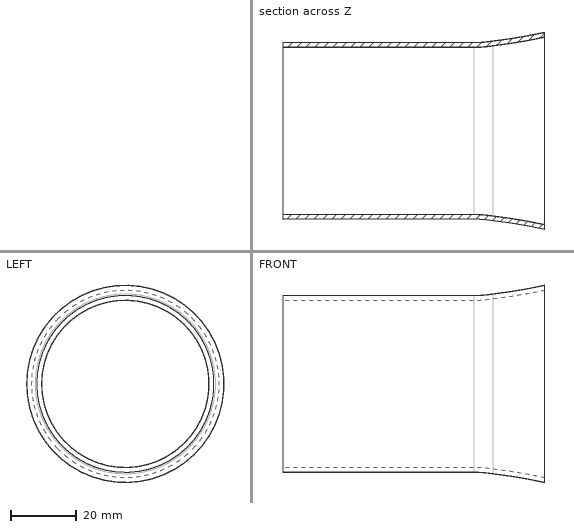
import cadquery as cq

length = 80.0
tube_radius = 27.0
wall = 1.5
blend_start = 58.4
blend_end = 64.2
blend_rise = 0.5
mouth_radius = 30.2
flare_sag = 0.2

blend_end_radius = tube_radius + blend_rise
flare_middle = (blend_end + length) / 2
flare_middle_radius = (blend_end_radius + mouth_radius) / 2 - flare_sag


def flared_solid(inset):
    """Solid flared plug about the X axis, shrunk radially by the inset."""
    return (
        cq.Workplane("XY")
        .lineTo(0, tube_radius - inset)
        .lineTo(blend_start, tube_radius - inset)
        .tangentArcPoint((blend_end, blend_end_radius - inset), relative=False)
        .threePointArc((flare_middle, flare_middle_radius - inset), (length, mouth_radius - inset))
        .lineTo(length, 0)
        .close()
        .revolve(360, (0, 0, 0), (1, 0, 0))
    )


result = flared_solid(0).cut(flared_solid(wall))